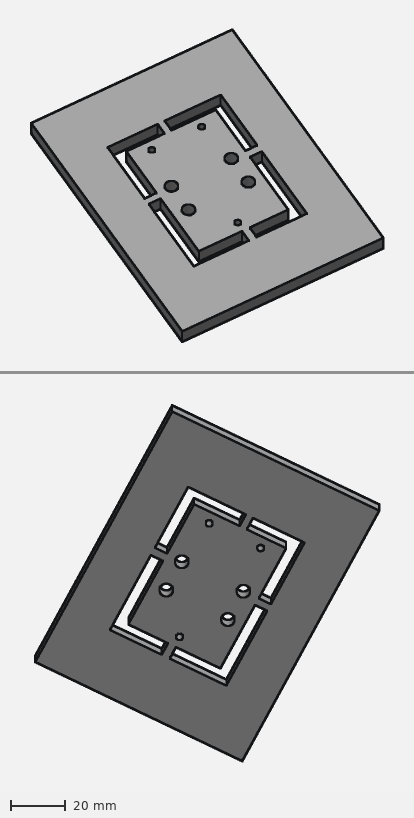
import cadquery as cq

plate_length = 110
plate_width = 85.0
plate_thickness = 6.5

window_length = 62.7
window_width = 47.7
slot_width = 5.0
island_length = window_length - 2 * slot_width
island_width = window_width - 2 * slot_width

back_bridge = (-4.7, -1.4)
front_bridge = (-4.4, -1.4)
left_bridge = (-2.8, 0.2)
right_bridge = (-0.7, 2.6)

large_diameter = 5.0
large_left_x = -4.3
large_right_x = 8.1
large_y = 12.6

small_diameter = 2.5
small_x = 22.2
small_y = 10.6


def block(x_range, y_range):
    """Full-thickness box spanning the given X and Y ranges."""
    x_start, x_end = x_range
    y_start, y_end = y_range
    return (
        cq.Workplane("XY")
        .box(x_end - x_start, y_end - y_start, plate_thickness, centered=False)
        .translate((x_start, y_start, 0))
    )


def centred_block(length, width):
    return block((-length / 2, length / 2), (-width / 2, width / 2))


def slots():
    """Rectangular ring interrupted by one bridge on each side."""
    ring = centred_block(window_length, window_width)
    ring = ring.cut(centred_block(island_length, island_width))
    x_inner, x_outer = island_length / 2, window_length / 2
    y_inner, y_outer = island_width / 2, window_width / 2
    bridges = [
        block(back_bridge, (y_inner, y_outer)),
        block(front_bridge, (-y_outer, -y_inner)),
        block((-x_outer, -x_inner), left_bridge),
        block((x_inner, x_outer), right_bridge),
    ]
    for bridge in bridges:
        ring = ring.cut(bridge)
    return ring


def holes(points, diameter):
    return cq.Workplane("XY").pushPoints(points).circle(diameter / 2).extrude(plate_thickness)


large_points = [(x, y) for x in (large_left_x, large_right_x) for y in (-large_y, large_y)]
small_points = [(-small_x, small_y), (-small_x, -small_y), (small_x, 0)]

result = (
    centred_block(plate_length, plate_width)
    .cut(slots())
    .cut(holes(large_points, large_diameter))
    .cut(holes(small_points, small_diameter))
)